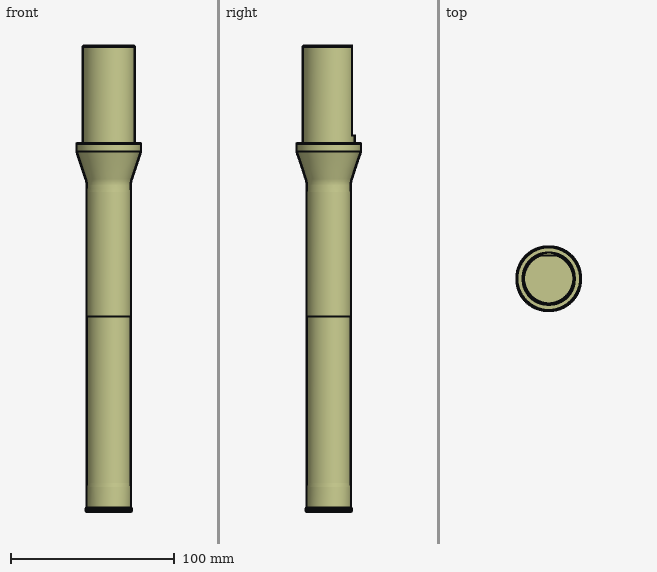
import cadquery as cq
import math

TOTAL_LENGTH = 285.0
JOINT_Z = 119.5

SLIM_DIAMETER = 27.0
FULL_DIAMETER = 27.5

BAND_TOP_Z = 17.7
BAND_STEP_HEIGHT = 2.5
FOOT_DIAMETER = 28.5
FOOT_ROUND = 1.5
FOOT_FLARE_TOP_Z = 2.5

NECK_STEP_BOTTOM_Z = 195.2
NECK_STEP_TOP_Z = 199.5
CONE_BOTTOM_Z = 201.5
CONE_ROUND = 10.0
COLLAR_DIAMETER = 39.5
COLLAR_TOP_Z = 225.5
COLLAR_HEIGHT = 5.0
COLLAR_CHAMFER = 0.5

SHANK_DIAMETER = 32.0
SHANK_CHAMFER_WIDTH = 0.9
SHANK_CHAMFER_HEIGHT = 0.9
FLAT_DISTANCE = 14.2
FLAT_GAP = 4.5

slim_radius = SLIM_DIAMETER / 2
full_radius = FULL_DIAMETER / 2
collar_radius = COLLAR_DIAMETER / 2
shank_radius = SHANK_DIAMETER / 2


def revolve_outline(outline):
    """Turn a closed radius-height outline about the Z axis."""
    return outline.close().revolve(360, (0, 0, 0), (0, 1, 0))


def make_sleeve():
    foot_radius = FOOT_DIAMETER / 2
    outline = (
        cq.Workplane("XZ")
        .lineTo(foot_radius - FOOT_ROUND, 0)
        .radiusArc((foot_radius, FOOT_ROUND), -FOOT_ROUND)
        .lineTo(full_radius, FOOT_FLARE_TOP_Z)
        .lineTo(full_radius, BAND_TOP_Z - BAND_STEP_HEIGHT)
        .lineTo(slim_radius, BAND_TOP_Z)
        .lineTo(slim_radius, JOINT_Z)
        .lineTo(0, JOINT_Z)
    )
    return revolve_outline(outline)


def cut_flat(holder):
    """Plane the flat off the shank, stopping just above the collar."""
    flat_bottom_z = COLLAR_TOP_Z + FLAT_GAP
    cutter = (
        cq.Workplane("XY", origin=(0, FLAT_DISTANCE, flat_bottom_z))
        .box(SHANK_DIAMETER, SHANK_DIAMETER, TOTAL_LENGTH - flat_bottom_z, centered=(True, False, False))
    )
    return holder.cut(cutter)


def make_holder():
    collar_bottom_z = COLLAR_TOP_Z - COLLAR_HEIGHT
    cone_angle = math.atan2(collar_radius - slim_radius, collar_bottom_z - CONE_BOTTOM_Z)
    tangent_length = CONE_ROUND * math.tan(cone_angle / 2)
    blend_start = (slim_radius, CONE_BOTTOM_Z - tangent_length)
    blend_end = (
        slim_radius + tangent_length * math.sin(cone_angle),
        CONE_BOTTOM_Z + tangent_length * math.cos(cone_angle),
    )
    outline = (
        cq.Workplane("XZ")
        .moveTo(0, JOINT_Z)
        .lineTo(full_radius, JOINT_Z)
        .lineTo(full_radius, NECK_STEP_BOTTOM_Z)
        .lineTo(slim_radius, NECK_STEP_TOP_Z)
        .lineTo(*blend_start)
        .radiusArc(blend_end, CONE_ROUND)
        .lineTo(collar_radius, collar_bottom_z)
        .lineTo(collar_radius, COLLAR_TOP_Z - COLLAR_CHAMFER)
        .lineTo(collar_radius - COLLAR_CHAMFER, COLLAR_TOP_Z)
        .lineTo(shank_radius, COLLAR_TOP_Z)
        .lineTo(shank_radius, TOTAL_LENGTH - SHANK_CHAMFER_HEIGHT)
        .lineTo(shank_radius - SHANK_CHAMFER_WIDTH, TOTAL_LENGTH)
        .lineTo(0, TOTAL_LENGTH)
    )
    return cut_flat(revolve_outline(outline))


sleeve = make_sleeve()
holder = make_holder()
result = cq.Compound.makeCompound([sleeve.val(), holder.val()])